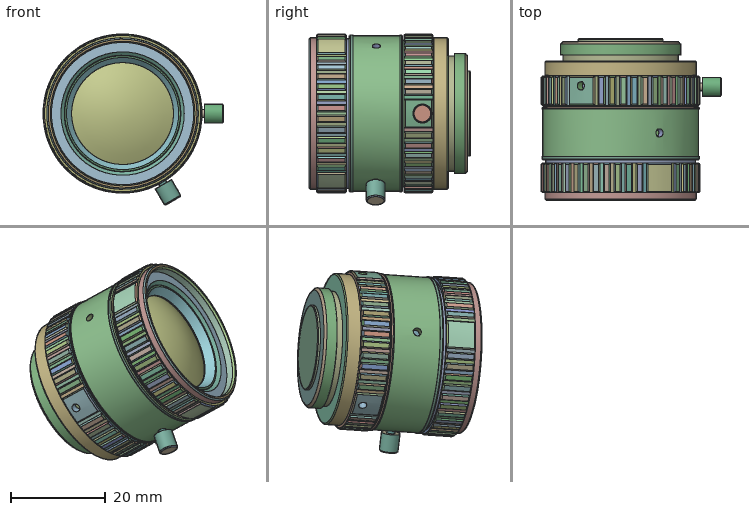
import cadquery as cq
import math

LENGTH = 34.1
OVERALL_WIDTH = 38.05

RIM_RADIUS = 32.0 / 2
NECK_RADIUS = 31.65 / 2
BARREL_RADIUS = 32.9 / 2
BEAD_RADIUS = 33.2 / 2
FRONT_GAP_RADIUS = 30.95 / 2
REAR_GAP_RADIUS = 30.5 / 2
THREAD_RELIEF_RADIUS = 24.4 / 2
THREAD_RADIUS = 25.4 / 2
TAIL_RADIUS = 18.0 / 2

FRONT_RING_START = 1.6
FRONT_RING_END = 7.87
BARREL_START = 8.5
BARREL_END = 19.75
REAR_RING_START = 20.0
REAR_RING_END = 26.17
FLANGE_START = 26.35
FLANGE_END = 29.4
THREAD_START = 30.7
THREAD_END = 33.48

RIM_CHAMFER = 0.3
FLANGE_CHAMFER = 0.25
BEAD_CHAMFER = 0.25
THREAD_CHAMFER = 0.55
TAIL_CHAMFER = 0.2
FRONT_BEAD_WIDTH = 0.55
REAR_BEAD_WIDTH = 0.25

MOUTH_RADIUS = 30.5 / 2
RECESS_RADIUS = 30.0 / 2
RECESS_DEPTH = 2.0
MOUTH_CHAMFER_DEPTH = 0.5
FUNNEL_RADIUS = 13.0
RETAINER_RADIUS = 24.4 / 2
RETAINER_DEPTH = 2.62
RETAINER_CHAMFER = 0.1
RETAINER_BORE_RADIUS = 11.83
LENS_RADIUS = 21.5 / 2
LENS_SEAT_DEPTH = 4.53
LENS_EDGE_DEPTH = 4.75
LENS_APEX_DEPTH = 1.85

RING_RADIUS = 16.78
GROOVE_DEPTH = 0.3
GROOVE_FLOOR_WIDTH = 0.72
PANEL_COUNT = 3
PANEL_PITCH = 360 / PANEL_COUNT
GROOVES_PER_SECTOR = 13
GROOVE_PITCH = 8
FRONT_PANEL_ANGLE = 60
REAR_PANEL_ANGLE = 0

HOLE_DIAMETER = 1.7
HOLE_FLOOR_RADIUS = 14.65
BARREL_HOLE_Y = 14.23
RING_HOLE_Y = 24.15
KNOB_DIAMETER = 4.0
KNOB_CHAMFER = 0.23
KNOB_INNER_RADIUS = 17.25
KNOB_OUTER_RADIUS = OVERALL_WIDTH - RING_RADIUS
BARREL_KNOB_Y = 14.07
RING_KNOB_Y = 23.93
BARREL_KNOB_ANGLE = -60
RING_KNOB_ANGLE = 0


def turn(profile):
    """Revolve a closed (radius, y) profile about the Y axis."""
    return profile.close().revolve(360, (0, 0, 0), (0, 1, 0))


def body():
    outline = [
        (0, 0),
        (RIM_RADIUS - RIM_CHAMFER, 0),
        (RIM_RADIUS, RIM_CHAMFER),
        (RIM_RADIUS, FRONT_RING_START),
        (NECK_RADIUS, FRONT_RING_START),
        (NECK_RADIUS, BARREL_START),
        (BEAD_RADIUS - BEAD_CHAMFER, BARREL_START),
        (BEAD_RADIUS, BARREL_START + BEAD_CHAMFER),
        (BEAD_RADIUS, BARREL_START + BEAD_CHAMFER + FRONT_BEAD_WIDTH),
        (BARREL_RADIUS, BARREL_START + BEAD_CHAMFER + FRONT_BEAD_WIDTH),
        (BARREL_RADIUS, BARREL_END - BEAD_CHAMFER - REAR_BEAD_WIDTH),
        (BEAD_RADIUS, BARREL_END - BEAD_CHAMFER - REAR_BEAD_WIDTH),
        (BEAD_RADIUS, BARREL_END - BEAD_CHAMFER),
        (BEAD_RADIUS - BEAD_CHAMFER, BARREL_END),
        (FRONT_GAP_RADIUS, BARREL_END),
        (FRONT_GAP_RADIUS, REAR_RING_START),
        (REAR_GAP_RADIUS, REAR_RING_START),
        (REAR_GAP_RADIUS, FLANGE_START),
        (RIM_RADIUS, FLANGE_START),
        (RIM_RADIUS, FLANGE_END - FLANGE_CHAMFER),
        (RIM_RADIUS - FLANGE_CHAMFER, FLANGE_END),
        (THREAD_RELIEF_RADIUS, FLANGE_END),
        (THREAD_RELIEF_RADIUS, THREAD_START),
        (THREAD_RADIUS, THREAD_START),
        (THREAD_RADIUS, THREAD_END - THREAD_CHAMFER),
        (THREAD_RADIUS - THREAD_CHAMFER, THREAD_END),
        (TAIL_RADIUS, THREAD_END),
        (TAIL_RADIUS, LENGTH - TAIL_CHAMFER),
        (TAIL_RADIUS - TAIL_CHAMFER, LENGTH),
        (0, LENGTH),
    ]
    return turn(cq.Workplane("XY").polyline(outline))


def front_recess():
    sagitta = LENS_EDGE_DEPTH - LENS_APEX_DEPTH
    sphere_radius = (LENS_RADIUS**2 + sagitta**2) / (2 * sagitta)
    mid_radius = LENS_RADIUS / 2
    mid_depth = LENS_APEX_DEPTH + sphere_radius - math.sqrt(sphere_radius**2 - mid_radius**2)
    wall = [
        (0, 0),
        (MOUTH_RADIUS, 0),
        (RECESS_RADIUS, MOUTH_CHAMFER_DEPTH),
        (RECESS_RADIUS, RECESS_DEPTH),
        (FUNNEL_RADIUS, RECESS_DEPTH),
        (RETAINER_RADIUS + RETAINER_CHAMFER, RETAINER_DEPTH + RETAINER_CHAMFER),
        (RETAINER_RADIUS, RETAINER_DEPTH),
        (RETAINER_BORE_RADIUS, RETAINER_DEPTH),
        (LENS_RADIUS, LENS_SEAT_DEPTH),
        (LENS_RADIUS, LENS_EDGE_DEPTH),
    ]
    profile = cq.Workplane("XY").polyline(wall)
    return turn(profile.threePointArc((mid_radius, mid_depth), (0, LENS_APEX_DEPTH)))


def polar(angle, radius, across=0):
    """Point (x, z) at a radius along a direction in the XZ plane, shifted across it."""
    a = math.radians(angle)
    return (
        radius * math.cos(a) - across * math.sin(a),
        radius * math.sin(a) + across * math.cos(a),
    )


def groove(angle, start, end):
    """Groove along Y with 45 degree flanks, open outwards."""
    floor_radius = RING_RADIUS - GROOVE_DEPTH
    floor_half = GROOVE_FLOOR_WIDTH / 2
    open_radius = RING_RADIUS + GROOVE_DEPTH
    open_half = floor_half + 2 * GROOVE_DEPTH
    floor_edge_radius = math.sqrt(floor_radius**2 - floor_half**2)
    section = (
        cq.Workplane("XZ", origin=(0, start, 0))
        .moveTo(*polar(angle, open_radius, -open_half))
        .lineTo(*polar(angle, floor_edge_radius, -floor_half))
        .threePointArc(polar(angle, floor_radius), polar(angle, floor_edge_radius, floor_half))
        .lineTo(*polar(angle, open_radius, open_half))
        .close()
    )
    return section.extrude(start - end).val()


def grip_ring(start, end, panel_angle):
    inner = REAR_GAP_RADIUS
    floor = RING_RADIUS - GROOVE_DEPTH
    outline = [
        (inner, start),
        (floor, start),
        (RING_RADIUS, start + GROOVE_DEPTH),
        (RING_RADIUS, end - GROOVE_DEPTH),
        (floor, end),
        (inner, end),
    ]
    ring = turn(cq.Workplane("XY").polyline(outline))
    first = (PANEL_PITCH - (GROOVES_PER_SECTOR - 1) * GROOVE_PITCH) / 2
    cutters = [
        groove(panel_angle + sector * PANEL_PITCH + first + index * GROOVE_PITCH, start, end)
        for sector in range(PANEL_COUNT)
        for index in range(GROOVES_PER_SECTOR)
    ]
    return ring.cut(cq.Workplane(cq.Compound.makeCompound(cutters)))


def radial_cylinder(angle, y, diameter, inner, outer):
    """Cylinder pointing straight out from the Y axis between two radii."""
    cylinder = cq.Workplane("YZ", origin=(inner, y, 0)).circle(diameter / 2).extrude(outer - inner)
    return cylinder.rotate((0, 0, 0), (0, 1, 0), -angle)


def screw_hole(angle, y):
    return radial_cylinder(angle, y, HOLE_DIAMETER, HOLE_FLOOR_RADIUS, KNOB_INNER_RADIUS)


def thumbscrew(angle, y):
    stem = radial_cylinder(0, y, HOLE_DIAMETER, HOLE_FLOOR_RADIUS, KNOB_INNER_RADIUS)
    knob = radial_cylinder(0, y, KNOB_DIAMETER, KNOB_INNER_RADIUS, KNOB_OUTER_RADIUS)
    knob = knob.faces(">X").chamfer(KNOB_CHAMFER)
    return stem.union(knob).rotate((0, 0, 0), (0, 1, 0), -angle)


result = body().cut(front_recess())
result = result.union(grip_ring(FRONT_RING_START, FRONT_RING_END, FRONT_PANEL_ANGLE))
result = result.union(grip_ring(REAR_RING_START, REAR_RING_END, REAR_PANEL_ANGLE))

for step in (1, 2):
    result = result.cut(screw_hole(RING_KNOB_ANGLE + step * PANEL_PITCH, RING_HOLE_Y))
    result = result.cut(screw_hole(BARREL_KNOB_ANGLE + step * PANEL_PITCH, BARREL_HOLE_Y))
result = result.union(thumbscrew(RING_KNOB_ANGLE, RING_KNOB_Y))
result = result.union(thumbscrew(BARREL_KNOB_ANGLE, BARREL_KNOB_Y))